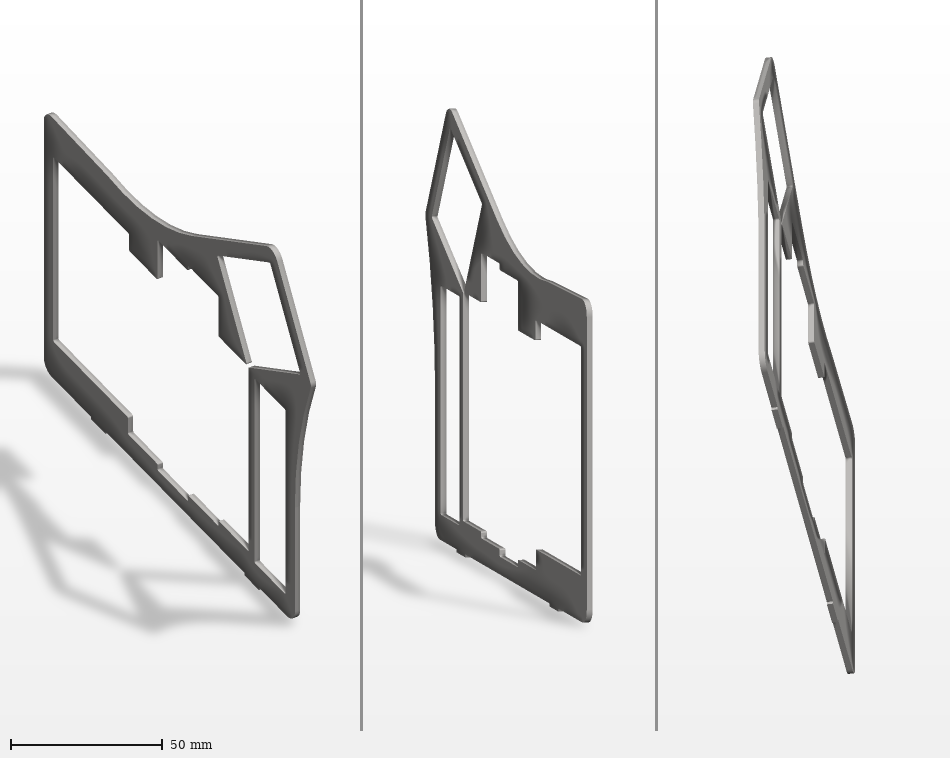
import cadquery as cq
import math

thickness = 2.0
body_width = 160.0
left_height = 108.6
rim = 6.0
corner_radius = 5.0
opening_radius = 0.5

window_size = 39.0
window_tilt = 30.0
window_x = 137.0
window_z = 113.7
window_rim = 5.8

top_blend_start = (40.9, 107.5)
top_blend_end_along = -34.4
side_blend_start_z = 48.5
arm_tip_across = -23.1
arm_tip_radius = 2.5

slot_left = 134.3
slot_right = body_width - rim
slot_bottom = 8.5
slot_top = 85.5

opening_right = 130.5
upper_left_z = 92.5
upper_tab_x = 54.3
lower_tab_x = 53.6
tab_z = 85.5
notch_left = 72.5
notch_step = 91.9
notch_right = 111.3
notch_z = 102.1
notch_top = 104.3
tongue_z = 87.7
lower_left_z = 15.5
lower_right_z = 10.7

foot_height = 1.0
foot_width = 9.4
foot_overlap = 1.7
foot_lefts = (30.0, 127.8)


def arm_point(along, across):
    """Point given along and across the tilted arm, from the window centre."""
    tilt = math.radians(window_tilt)
    x = window_x + along * math.cos(tilt) - across * math.sin(tilt)
    z = window_z + along * math.sin(tilt) + across * math.cos(tilt)
    return x, z


def extrude(profile):
    """Extrude a closed XZ profile through the plate thickness, towards +Y."""
    return profile.extrude(-thickness)


def box_between(left, right, bottom, top):
    profile = cq.Workplane("XZ").moveTo(left, bottom).lineTo(right, bottom)
    return extrude(profile.lineTo(right, top).lineTo(left, top).close())


def round_corner(plate, point, radius):
    """Round the through-thickness edge nearest to a profile point."""
    x, z = point
    corner = cq.selectors.NearestToPointSelector((x, thickness / 2, z))
    return plate.edges("|Y").edges(corner).fillet(radius)


def make_plate():
    arm_edge = window_size / 2 + window_rim
    arm_top = arm_point(arm_edge, arm_edge)
    arm_tip = arm_point(arm_edge, arm_tip_across)
    blend_end = arm_point(top_blend_end_along, arm_edge)
    profile = (
        cq.Workplane("XZ")
        .lineTo(body_width, 0)
        .lineTo(body_width, side_blend_start_z)
        .tangentArcPoint(arm_tip, relative=False)
        .lineTo(*arm_top)
        .lineTo(*blend_end)
        .tangentArcPoint(top_blend_start, relative=False)
        .lineTo(0, left_height)
        .close()
    )
    plate = extrude(profile)
    for corner in ((0, 0), (body_width, 0), (0, left_height), arm_top):
        plate = round_corner(plate, corner, corner_radius)
    return round_corner(plate, arm_tip, arm_tip_radius)


def make_main_opening():
    half = window_size / 2
    tilt = math.radians(window_tilt)
    corner_x, corner_z = arm_point(-half, -half)
    tongue_tip_x = corner_x - (tongue_z - corner_z) * math.tan(tilt)
    wall_top = corner_z + (opening_right - corner_x) * math.tan(tilt)
    window = [arm_point(-half, half), arm_point(half, half), arm_point(half, -half)]
    outline = [
        (rim, lower_left_z),
        (rim, upper_left_z),
        (upper_tab_x, upper_left_z),
        (upper_tab_x, tab_z),
        (notch_left, tab_z),
        (notch_left, notch_z),
        (notch_step, notch_z),
        (notch_step, notch_top),
        (notch_right, notch_top),
        (notch_right, tongue_z),
        (tongue_tip_x, tongue_z),
        *window,
        (opening_right, wall_top),
        (opening_right, lower_right_z),
        (notch_right, lower_right_z),
        (notch_right, slot_bottom),
        (notch_step, slot_bottom),
        (notch_step, rim),
        (notch_left, rim),
        (notch_left, slot_bottom),
        (lower_tab_x, slot_bottom),
        (lower_tab_x, lower_left_z),
    ]
    opening = extrude(cq.Workplane("XZ").polyline(outline).close())
    return opening.edges("|Y").fillet(opening_radius)


slot = box_between(slot_left, slot_right, slot_bottom, slot_top).edges("|Y").fillet(opening_radius)

result = make_plate().cut(make_main_opening()).cut(slot)
for foot_left in foot_lefts:
    foot = box_between(foot_left, foot_left + foot_width, -foot_height, foot_overlap)
    result = result.union(foot)